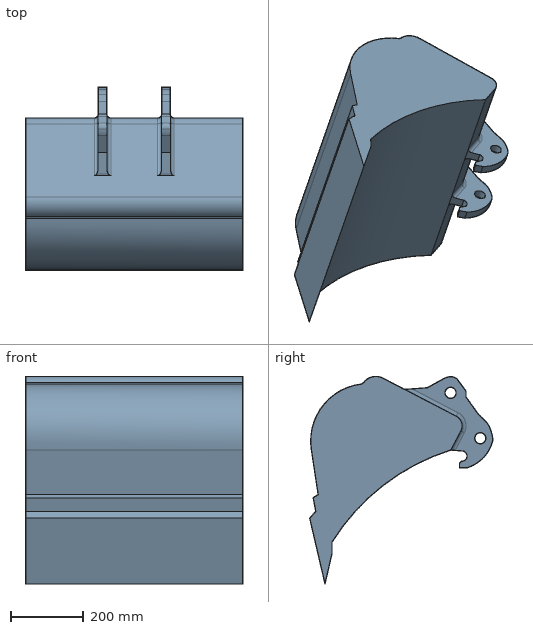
import cadquery as cq
import math

bucket_width = 600.0

blade_tip = (42.5, 0.0)
blade_heel = (0.0, 182.5)
strip_bottom = (17.0, 201.0)
strip_top = (9.5, 239.0)
back_bottom = (23.5, 248.0)
back_top = (5.0, 370.0)
blade_inner_bottom = (62.5, 85.0)
blade_inner_top = (62.5, 116.5)

back_curve_middle = (48.0, 506.5)
back_curve_end = (143.5, 553.0)

top_slope = math.radians(27.5)
top_edge_radius = 42.0
top_edge_center = (183.0, 532.0)
top_edge_end_angle = math.radians(144.5)
corner_radius = 30.0
corner_center_y = 391.0
front_face_length = 60.0

mouth_middle = (210.0, 278.0)

lug_spacing = 175.0
lug_thickness = 24.0
lug_toe_y = 261.5
lug_toe_top = (267.0, 539.0)
lug_root = (348.0, 420.0)

head_ramp_bottom = (325.0, 543.0)
head_ramp_top = (373.0, 569.5)
head_rear_middle = (381.5, 572.5)
head_peak = (390.0, 573.5)
head_front_middle = (399.5, 572.0)
head_front_end = (407.5, 567.0)
head_side_bend = (425.0, 543.5)

neck_top = (432.5, 533.0)
neck_bottom = (432.5, 516.5)
shoulder_top = (466.0, 470.0)
shoulder_bottom = (486.5, 450.0)

nose_upper_middle = (494.5, 440.0)
nose_upper_end = (499.0, 429.0)
nose_side_middle = (504.0, 415.0)
nose_tip = (506.5, 397.0)
nose_lower_middle = (482.5, 351.5)

hook_bottom_front = (434.5, 321.0)
hook_bottom_rear = (413.5, 321.0)
hook_side_top = (413.5, 333.5)
hook_throat_bottom = (419.5, 340.0)
hook_throat_middle = (434.5, 356.5)
hook_throat_top = (425.5, 367.0)

pin_diameter = 30.0
pin_centers = [(389.5, 528.5), (471.5, 403.0)]

weld_radius = 11.0
weld_sink = 6.0
weld_front_length = 90.0

top_normal = math.pi / 2 - top_slope
front_normal = -top_slope
corner_normal = (top_normal + front_normal) / 2


def polar(center, radius, angle):
    """Point on a circle in the YZ plane; the angle runs from +Y toward +Z."""
    return (center[0] + radius * math.cos(angle), center[1] + radius * math.sin(angle))


corner_rise = (top_edge_radius - corner_radius) / math.cos(top_slope)
corner_drop = (corner_center_y - top_edge_center[0]) * math.tan(top_slope)
corner_center = (corner_center_y, top_edge_center[1] + corner_rise - corner_drop)
corner_top = polar(corner_center, corner_radius, top_normal)
corner_middle = polar(corner_center, corner_radius, corner_normal)
corner_front = polar(corner_center, corner_radius, front_normal)
mouth_top = polar(corner_front, front_face_length, front_normal - math.pi / 2)


def top_face_point(y):
    """Point of the flat top face at a given y."""
    return (y, corner_top[1] + (corner_top[0] - y) * math.tan(top_slope))


def make_bucket():
    return (
        cq.Workplane("YZ")
        .moveTo(*blade_tip)
        .lineTo(*blade_heel)
        .lineTo(*strip_bottom)
        .lineTo(*strip_top)
        .lineTo(*back_bottom)
        .lineTo(*back_top)
        .threePointArc(back_curve_middle, back_curve_end)
        .lineTo(*polar(top_edge_center, top_edge_radius, top_edge_end_angle))
        .threePointArc(
            polar(top_edge_center, top_edge_radius, math.pi / 2),
            polar(top_edge_center, top_edge_radius, top_normal),
        )
        .lineTo(*corner_top)
        .threePointArc(corner_middle, corner_front)
        .lineTo(*mouth_top)
        .threePointArc(mouth_middle, blade_inner_top)
        .lineTo(*blade_inner_bottom)
        .close()
        .extrude(bucket_width / 2, both=True)
    )


def make_lug_plate(thickness):
    """Plate with the lug outline, reaching into the bucket at its root."""
    return (
        cq.Workplane("YZ")
        .moveTo(*top_face_point(lug_toe_y))
        .lineTo(*lug_toe_top)
        .lineTo(*head_ramp_bottom)
        .lineTo(*head_ramp_top)
        .threePointArc(head_rear_middle, head_peak)
        .threePointArc(head_front_middle, head_front_end)
        .lineTo(*head_side_bend)
        .lineTo(*neck_top)
        .lineTo(*neck_bottom)
        .lineTo(*shoulder_top)
        .lineTo(*shoulder_bottom)
        .threePointArc(nose_upper_middle, nose_upper_end)
        .threePointArc(nose_side_middle, nose_tip)
        .threePointArc(nose_lower_middle, hook_bottom_front)
        .lineTo(*hook_bottom_rear)
        .lineTo(*hook_side_top)
        .lineTo(*hook_throat_bottom)
        .threePointArc(hook_throat_middle, hook_throat_top)
        .lineTo(*mouth_top)
        .lineTo(*lug_root)
        .close()
        .extrude(thickness / 2, both=True)
    )


def make_weld():
    """Weld along the top face, around the corner and down the front face, trimmed to the lug outline."""
    toe = top_face_point(lug_toe_y)
    path = (
        cq.Workplane("YZ")
        .moveTo(*toe)
        .lineTo(*corner_top)
        .threePointArc(corner_middle, corner_front)
        .lineTo(*polar(corner_front, weld_front_length, front_normal - math.pi / 2))
    )
    section_plane = cq.Plane(
        origin=(0, *toe),
        xDir=(-1, 0, 0),
        normal=(0, math.cos(top_slope), -math.sin(top_slope)),
    )
    half_lug = lug_thickness / 2
    half_foot = half_lug + weld_radius
    cove_depth = weld_radius * (1 - math.sqrt(0.5))
    section = (
        cq.Workplane(section_plane)
        .moveTo(-half_foot, 0)
        .threePointArc((-half_lug - cove_depth, cove_depth), (-half_lug, weld_radius))
        .lineTo(half_lug, weld_radius)
        .threePointArc((half_lug + cove_depth, cove_depth), (half_foot, 0))
        .lineTo(half_foot, -weld_sink)
        .lineTo(-half_foot, -weld_sink)
        .close()
    )
    return section.sweep(path).intersect(make_lug_plate(2 * half_foot))


def make_lug():
    pins = (
        cq.Workplane("YZ")
        .pushPoints(pin_centers)
        .circle(pin_diameter / 2)
        .extrude(lug_thickness / 2 + weld_radius, both=True)
    )
    return make_lug_plate(lug_thickness).union(make_weld()).cut(pins)


result = make_bucket()
lug = make_lug()
for side in (-1, 1):
    result = result.union(lug.translate((side * lug_spacing / 2, 0, 0)))